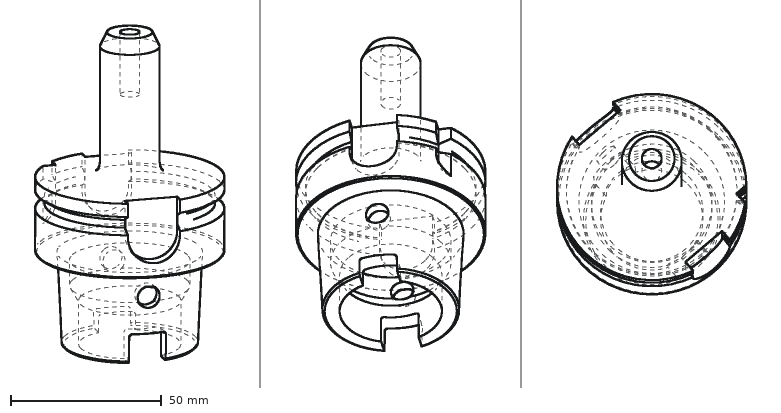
import cadquery as cq
import math

total_height = 108.2
flange_bottom = 32.0
flange_top = 58.0

post_radius = 10.0
post_tip_radius = 7.6
post_tip_height = 5.0
post_fillet = 5.0
post_hole_radius = 3.2
post_hole_depth = 21.6

flange_radius = 31.5
flange_chamfer = 0.5
groove_radius = 28.3
groove_lower_edge = 47.1
groove_floor_bottom = 48.5
groove_floor_top = 51.8
groove_upper_edge = 53.5
groove_fillet = 0.5
selection_margin = 0.1

shank_top_radius = 24.2
shank_bottom_radius = 22.7
shank_chamfer = 0.8
bore_mouth_radius = 17.0
bore_lip_height = 15.1
cavity_radius = 20.0
cavity_top = 29.2
bore_cone_angle = 30.0

slot_bottom = 37.1
slot_floor = 26.5
left_slot_width = 16.0
right_slot_width = 18.0
corner_notch_floor = 20.0

side_hole_radius = 3.8
side_hole_height = 23.2
drive_slot_width = 12.7
drive_slot_corner = 1.1
left_drive_slot_height = 6.3
right_drive_slot_height = 10.3


def make_body():
    """Revolve the post, flange and shank about the Z axis."""
    fillet_radius = post_radius + post_fillet
    fillet_top = flange_top + post_fillet
    diagonal = post_fillet * math.sqrt(0.5)
    return (
        cq.Workplane("XZ")
        .lineTo(shank_bottom_radius - shank_chamfer, 0)
        .lineTo(shank_bottom_radius, shank_chamfer)
        .lineTo(shank_top_radius, flange_bottom)
        .lineTo(flange_radius - flange_chamfer, flange_bottom)
        .lineTo(flange_radius, flange_bottom + flange_chamfer)
        .lineTo(flange_radius, groove_lower_edge)
        .lineTo(groove_radius, groove_floor_bottom)
        .lineTo(groove_radius, groove_floor_top)
        .lineTo(flange_radius, groove_upper_edge)
        .lineTo(flange_radius, flange_top)
        .lineTo(fillet_radius, flange_top)
        .threePointArc((fillet_radius - diagonal, fillet_top - diagonal), (post_radius, fillet_top))
        .lineTo(post_radius, total_height - post_tip_height)
        .lineTo(post_tip_radius, total_height)
        .lineTo(0, total_height)
        .close()
        .revolve(360, (0, 0), (0, 1))
    )


def round_groove_corners(solid):
    """Fillet the two circular edges at the floor of the gripper groove."""
    reach = groove_radius + selection_margin
    floor_edges = cq.selectors.BoxSelector(
        (-reach, -reach, groove_floor_bottom - selection_margin),
        (reach, reach, groove_floor_top + selection_margin),
        boundingbox=True,
    )
    return solid.edges(floor_edges).edges("%CIRCLE").fillet(groove_fillet)


def make_bore():
    """Clamping bore: a narrow mouth that opens by a cone into a wider cavity."""
    cone_height = (cavity_radius - bore_mouth_radius) / math.tan(math.radians(bore_cone_angle))
    return (
        cq.Workplane("XZ")
        .lineTo(bore_mouth_radius, 0)
        .lineTo(bore_mouth_radius, bore_lip_height)
        .lineTo(cavity_radius, bore_lip_height + cone_height)
        .lineTo(cavity_radius, cavity_top)
        .lineTo(0, cavity_top)
        .close()
        .revolve(360, (0, 0), (0, 1))
    )


def make_rim_slot(side, width, floor, center_y=0):
    """Slot from the flange top down to a half-round end, outward of floor on the given X side."""
    radius = width / 2
    arc_height = slot_bottom + radius
    return (
        cq.Workplane("YZ", origin=(side * floor, 0, 0))
        .moveTo(center_y - radius, flange_top)
        .lineTo(center_y - radius, arc_height)
        .threePointArc((center_y, slot_bottom), (center_y + radius, arc_height))
        .lineTo(center_y + radius, flange_top)
        .close()
        .extrude(side * flange_radius)
    )


def make_drive_slot(side, height):
    """Slot through the open end of the shank wall, with its inner corners rounded."""
    return (
        cq.Workplane("XY")
        .box(flange_radius, drive_slot_width, height, centered=(True, True, False))
        .edges("|X and >Z")
        .fillet(drive_slot_corner)
        .translate((side * flange_radius / 2, 0, 0))
    )


body = round_groove_corners(make_body())
body = body.cut(make_bore())

post_hole = (
    cq.Workplane("XY", origin=(0, 0, total_height))
    .circle(post_hole_radius)
    .extrude(-post_hole_depth)
)
body = body.cut(post_hole)

body = body.cut(make_rim_slot(-1, left_slot_width, slot_floor))
body = body.cut(make_rim_slot(1, right_slot_width, slot_floor))
notch_center_y = -(corner_notch_floor + left_slot_width / 2)
body = body.cut(make_rim_slot(-1, left_slot_width, corner_notch_floor, notch_center_y))

side_hole = (
    cq.Workplane("YZ")
    .center(0, side_hole_height)
    .circle(side_hole_radius)
    .extrude(flange_radius, both=True)
)
body = body.cut(side_hole)

body = body.cut(make_drive_slot(-1, left_drive_slot_height))
body = body.cut(make_drive_slot(1, right_drive_slot_height))

result = body